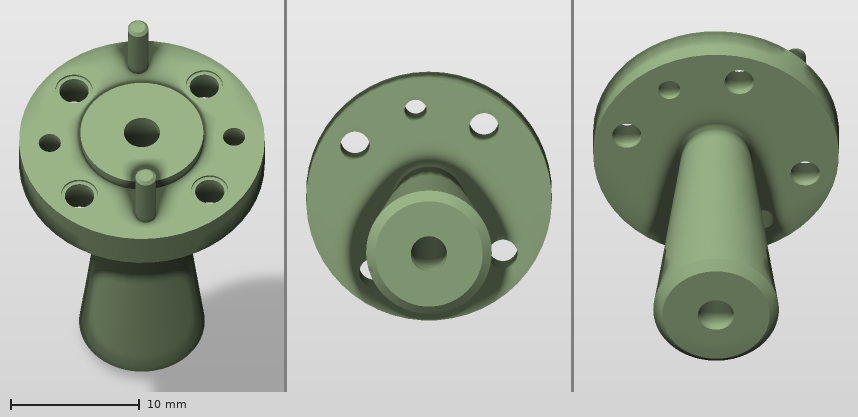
import cadquery as cq
import math

total_height = 29.55
pin_height = 5.08
flange_thickness = 3.13
flange_top = total_height - pin_height
flange_bottom = flange_top - flange_thickness

flange_diameter = 19.05
boss_diameter = 9.55
boss_height = 0.97
bore_diameter = 2.8

neck_fillet = 0.3
neck_diameter = 5.38
horn_diameter = 9.75
rim_chamfer = 0.7

pitch_radius = 7.15
bolt_hole_diameter = 2.27
counterbore_diameter = 2.87
counterbore_depth = 0.18
dowel_hole_diameter = 1.7
pin_diameter = 1.6
pin_chamfer = 0.25

bolt_angles = (0, 90, 180, 270)
dowel_hole_angles = (45, 225)
pin_angles = (135, 315)


def pitch_points(angles):
    """Points on the pitch circle at the given angles in degrees."""
    return [
        (pitch_radius * math.cos(math.radians(a)), pitch_radius * math.sin(math.radians(a)))
        for a in angles
    ]


def make_body():
    """Horn, flange and raised face turned as one profile of (radius, height) points."""
    boss_top = flange_top + boss_height
    neck_radius = neck_diameter / 2
    fillet_inset = neck_fillet * (1 - math.sqrt(0.5))
    return (
        cq.Workplane("XZ")
        .lineTo(horn_diameter / 2 - rim_chamfer, 0)
        .lineTo(horn_diameter / 2, rim_chamfer)
        .lineTo(neck_radius, flange_bottom - neck_fillet)
        .threePointArc(
            (neck_radius + fillet_inset, flange_bottom - fillet_inset),
            (neck_radius + neck_fillet, flange_bottom),
        )
        .lineTo(flange_diameter / 2, flange_bottom)
        .lineTo(flange_diameter / 2, flange_top)
        .lineTo(boss_diameter / 2, flange_top)
        .lineTo(boss_diameter / 2, boss_top)
        .lineTo(0, boss_top)
        .close()
        .revolve(360, (0, 0, 0), (0, 1, 0))
    )


def make_pins():
    """Dowel pins with chamfered tips, seated through the flange."""
    return (
        cq.Workplane("XY", origin=(0, 0, flange_bottom))
        .pushPoints(pitch_points(pin_angles))
        .circle(pin_diameter / 2)
        .extrude(total_height - flange_bottom)
        .faces(">Z")
        .chamfer(pin_chamfer)
    )


def drill(body):
    """Central bore, counterbored bolt holes and plain dowel holes."""
    top = cq.Workplane("XY", origin=(0, 0, flange_top))
    bolts = top.pushPoints(pitch_points(bolt_angles))
    bolt_holes = bolts.circle(bolt_hole_diameter / 2).extrude(-flange_thickness)
    counterbores = bolts.circle(counterbore_diameter / 2).extrude(-counterbore_depth)
    dowel_holes = (
        top.pushPoints(pitch_points(dowel_hole_angles))
        .circle(dowel_hole_diameter / 2)
        .extrude(-flange_thickness)
    )
    bore = cq.Workplane("XY").circle(bore_diameter / 2).extrude(total_height)
    return body.cut(bore).cut(bolt_holes).cut(counterbores).cut(dowel_holes)


result = drill(make_body()).union(make_pins())